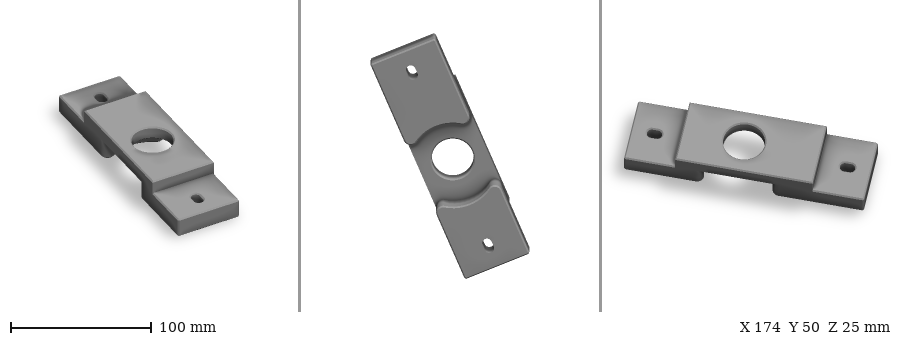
import cadquery as cq
import math

length = 174.0
width = 50.0
height = 25.0
foot_height = 15.0
bridge_length = 99.5
leg_gap = 50.0
leg_corner_radius = 5.0
edge_chamfer = 1.0
bore_diameter = 30.0
slot_length = 11.0
slot_width = 7.0
slot_spacing = 140.0

center_offset = 5.0

selection_margin = 0.02


def make_foot(side):
    """End foot whose inner face is a round hollow between two rounded ears; side is -1 or +1 along X."""
    half_width = width / 2
    ear_x = leg_gap / 2 + leg_corner_radius
    ear_y = half_width - leg_corner_radius
    hollow_radius = math.hypot(ear_x, ear_y) - leg_corner_radius
    ear_angle = math.atan2(ear_y, ear_x)
    tangent_x = hollow_radius * math.cos(ear_angle)
    tangent_y = hollow_radius * math.sin(ear_angle)
    outer_x = side * length / 2

    def place(x, y):
        return (center_offset + side * x, y)

    ear_tip_x = leg_gap / 2
    foot = (
        cq.Workplane("XY")
        .moveTo(outer_x, -half_width)
        .lineTo(*place(ear_x, -half_width))
        .threePointArc(place(ear_tip_x, -ear_y), place(tangent_x, -tangent_y))
        .threePointArc(place(hollow_radius, 0), place(tangent_x, tangent_y))
        .threePointArc(place(ear_tip_x, ear_y), place(ear_x, half_width))
        .lineTo(outer_x, half_width)
        .close()
        .extrude(foot_height)
    )
    outer = ">X" if side > 0 else "<X"
    foot = foot.edges("|Z").edges(outer).chamfer(edge_chamfer)
    return foot.faces("<Z").edges().chamfer(edge_chamfer)


def chamfer_foot_top(body, side):
    """Break the free top edges of a foot, leaving the step to the bridge sharp."""
    near, far = sorted((side * bridge_length / 2, side * length / 2))
    selector = cq.selectors.BoxSelector(
        (near + selection_margin * side, -width, foot_height - selection_margin),
        (far + selection_margin * side, width, foot_height + selection_margin),
    )
    return body.faces("|Z").edges(selector).chamfer(edge_chamfer)


def make_bridge():
    """Raised plate spanning both feet, with its top edges chamfered."""
    plate = (
        cq.Workplane("XY")
        .workplane(offset=foot_height)
        .rect(bridge_length, width)
        .extrude(height - foot_height)
    )
    return plate.faces(">Z").edges().chamfer(edge_chamfer)


def cut_bore(body):
    """Off-centre through bore with both rims chamfered."""
    bore_radius = bore_diameter / 2
    rim_radius = bore_radius + edge_chamfer
    profile = (
        cq.Workplane("XZ")
        .moveTo(0, foot_height)
        .lineTo(rim_radius, foot_height)
        .lineTo(bore_radius, foot_height + edge_chamfer)
        .lineTo(bore_radius, height - edge_chamfer)
        .lineTo(rim_radius, height)
        .lineTo(0, height)
        .close()
    )
    bore = profile.revolve(360, (0, 0, 0), (0, 1, 0)).translate((center_offset, 0, 0))
    return body.cut(bore)


def cut_slots(body):
    """One through slot per foot, each with a chamfered upper rim."""
    centers = [(-slot_spacing / 2, 0), (slot_spacing / 2, 0)]
    slots = cq.Workplane("XY").pushPoints(centers).slot2D(slot_length, slot_width).extrude(foot_height)
    rims = (
        cq.Workplane("XY")
        .workplane(offset=foot_height - edge_chamfer)
        .pushPoints(centers)
        .slot2D(slot_length + 2 * edge_chamfer, slot_width + 2 * edge_chamfer)
        .extrude(2 * edge_chamfer)
        .faces("<Z")
        .edges()
        .chamfer(edge_chamfer)
    )
    return body.cut(slots).cut(rims)


body = make_bridge()
for side in (-1, 1):
    body = body.union(make_foot(side))
for side in (-1, 1):
    body = chamfer_foot_top(body, side)
result = cut_slots(cut_bore(body))